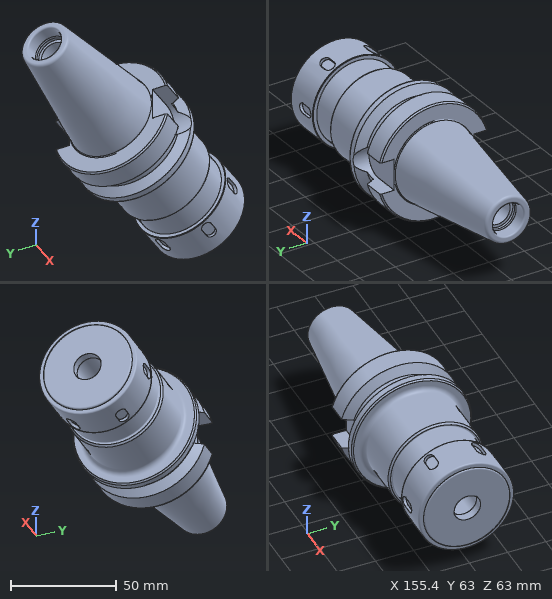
import cadquery as cq
import math

OVERALL_LENGTH = 155.4
BORE_DIAMETER = 13.8

TAPER_RATIO = 7 / 24
GAGE_DIAMETER = 44.5
GAGE_X = 65.1
SHANK_EDGE_RADIUS = 1.7

MOUTH_FILLET = 1.0
COUNTERBORE_DIAMETER = 17.5
COUNTERBORE_DEPTH = 7.3
STEP_DIAMETER = 17.0
STEP_CONE_LENGTH = 1.0
STEP_DEPTH = 9.8

FLANGE_DIAMETER = 63.0
FLANGE_FRONT_X = 66.2
FLANGE_BACK_X = 92.3
FLANGE_CHAMFER = 0.8
GROOVE_DIAMETER = 53.1
GROOVE_FLOOR_START_X = 80.7
GROOVE_FLOOR_WIDTH = 4.7
GROOVE_FLANK_ANGLE = 30

SLOT_WIDTH = 17.0
SLOT_END_X = 88.6
SLOT_FLOOR_Y = 22.5

BODY_DIAMETER = 49.7
BODY_END_X = 120.0
BODY_CHAMFER = 1.0
BODY_FILLET = 2.8
NECK_DIAMETER = 45.5

ROOT_FILLET = 0.5

NUT_DIAMETER = 50.0
NUT_START_X = 134.5
NUT_START_CHAMFER = 0.3
NUT_SHOULDER_X = 154.5
NUT_FILLET = 1.0
NOSE_DIAMETER = 45.0
NOSE_FILLET = 0.8
NUT_END_WALL = 4.7

RECESS_COUNT = 6
RECESS_LENGTH = 10.0
RECESS_WIDTH = 5.5
RECESS_CENTRE_X = 141.3
RECESS_DEPTH = 1.7

NECK_END_X = OVERALL_LENGTH - NUT_END_WALL


def revolve_about_x(profile):
    """Turn a closed profile, drawn with X along the axis and Y as radius."""
    return profile.close().revolve(360, (0, 0, 0), (1, 0, 0))


def make_shank():
    small_end_diameter = GAGE_DIAMETER - TAPER_RATIO * GAGE_X
    cone = revolve_about_x(
        cq.Workplane("XY")
        .lineTo(0, small_end_diameter / 2)
        .lineTo(GAGE_X, GAGE_DIAMETER / 2)
        .lineTo(FLANGE_FRONT_X - ROOT_FILLET, GAGE_DIAMETER / 2)
        .radiusArc((FLANGE_FRONT_X, GAGE_DIAMETER / 2 + ROOT_FILLET), -ROOT_FILLET)
        .lineTo(FLANGE_FRONT_X, 0)
    )
    return cone.faces("<X").edges().fillet(SHANK_EDGE_RADIUS)


def make_flange():
    rim = FLANGE_DIAMETER / 2
    floor = GROOVE_DIAMETER / 2
    flank_run = (rim - floor) * math.tan(math.radians(GROOVE_FLANK_ANGLE))
    groove_floor_end_x = GROOVE_FLOOR_START_X + GROOVE_FLOOR_WIDTH
    return revolve_about_x(
        cq.Workplane("XY")
        .moveTo(FLANGE_FRONT_X, 0)
        .lineTo(FLANGE_FRONT_X, rim - FLANGE_CHAMFER)
        .lineTo(FLANGE_FRONT_X + FLANGE_CHAMFER, rim)
        .lineTo(GROOVE_FLOOR_START_X - flank_run, rim)
        .lineTo(GROOVE_FLOOR_START_X, floor)
        .lineTo(groove_floor_end_x, floor)
        .lineTo(groove_floor_end_x + flank_run, rim)
        .lineTo(FLANGE_BACK_X - FLANGE_CHAMFER, rim)
        .lineTo(FLANGE_BACK_X, rim - FLANGE_CHAMFER)
        .lineTo(FLANGE_BACK_X, 0)
    )


def make_body_and_neck():
    """Body joined to the flange by a concave fillet, then the neck that carries the nut."""
    radius = BODY_DIAMETER / 2
    return revolve_about_x(
        cq.Workplane("XY")
        .moveTo(FLANGE_BACK_X, 0)
        .lineTo(FLANGE_BACK_X, radius + BODY_FILLET)
        .radiusArc((FLANGE_BACK_X + BODY_FILLET, radius), -BODY_FILLET)
        .lineTo(BODY_END_X - BODY_CHAMFER, radius)
        .lineTo(BODY_END_X, radius - BODY_CHAMFER)
        .lineTo(BODY_END_X, NECK_DIAMETER / 2 + ROOT_FILLET)
        .radiusArc((BODY_END_X + ROOT_FILLET, NECK_DIAMETER / 2), -ROOT_FILLET)
        .lineTo(NECK_END_X, NECK_DIAMETER / 2)
        .lineTo(NECK_END_X, 0)
    )


def make_bore():
    """Through bore with a stepped counterbore and a rounded mouth."""
    counterbore = COUNTERBORE_DIAMETER / 2
    step = STEP_DIAMETER / 2
    bore = BORE_DIAMETER / 2
    return revolve_about_x(
        cq.Workplane("XY")
        .lineTo(0, counterbore + MOUTH_FILLET)
        .radiusArc((MOUTH_FILLET, counterbore), -MOUTH_FILLET)
        .lineTo(COUNTERBORE_DEPTH, counterbore)
        .lineTo(COUNTERBORE_DEPTH + STEP_CONE_LENGTH, step)
        .lineTo(STEP_DEPTH, step)
        .lineTo(STEP_DEPTH, bore)
        .lineTo(OVERALL_LENGTH, bore)
        .lineTo(OVERALL_LENGTH, 0)
    )


def make_drive_slot(side):
    """Flat-bottomed slot, open toward the taper, with a round end; side is +1 or -1."""
    round_centre_x = SLOT_END_X - SLOT_WIDTH / 2
    depth = FLANGE_DIAMETER / 2 - SLOT_FLOOR_Y
    floor_plane = cq.Workplane("XZ", origin=(0, side * SLOT_FLOOR_Y, 0))
    return (
        floor_plane
        .moveTo(FLANGE_FRONT_X, -SLOT_WIDTH / 2)
        .lineTo(round_centre_x, -SLOT_WIDTH / 2)
        .threePointArc((SLOT_END_X, 0), (round_centre_x, SLOT_WIDTH / 2))
        .lineTo(FLANGE_FRONT_X, SLOT_WIDTH / 2)
        .close()
        .extrude(-side * depth)
    )


def make_holder():
    holder = make_shank().union(make_flange()).union(make_body_and_neck())
    for side in (1, -1):
        holder = holder.cut(make_drive_slot(side))
    return holder.cut(make_bore())


def make_recess(angle):
    """Rounded recess in the rim of the nut; angle is measured about X from the -Y side."""
    floor_radius = NUT_DIAMETER / 2 - RECESS_DEPTH
    return (
        cq.Workplane("XZ", origin=(RECESS_CENTRE_X, -floor_radius, 0))
        .slot2D(RECESS_LENGTH, RECESS_WIDTH)
        .extrude(2 * RECESS_DEPTH)
        .rotate((0, 0, 0), (1, 0, 0), angle)
    )


def make_nut():
    """Nut over the end of the neck, with a pocket for the neck and a low rounded nose."""
    radius = NUT_DIAMETER / 2
    nut = revolve_about_x(
        cq.Workplane("XY")
        .moveTo(NUT_START_X, NECK_DIAMETER / 2)
        .lineTo(NUT_START_X, radius - NUT_START_CHAMFER)
        .lineTo(NUT_START_X + NUT_START_CHAMFER, radius)
        .lineTo(NUT_SHOULDER_X - NUT_FILLET, radius)
        .radiusArc((NUT_SHOULDER_X, radius - NUT_FILLET), NUT_FILLET)
        .lineTo(NUT_SHOULDER_X, NOSE_DIAMETER / 2)
        .lineTo(OVERALL_LENGTH - NOSE_FILLET, NOSE_DIAMETER / 2)
        .radiusArc((OVERALL_LENGTH, NOSE_DIAMETER / 2 - NOSE_FILLET), NOSE_FILLET)
        .lineTo(OVERALL_LENGTH, BORE_DIAMETER / 2)
        .lineTo(NECK_END_X, BORE_DIAMETER / 2)
        .lineTo(NECK_END_X, NECK_DIAMETER / 2)
    )
    for i in range(RECESS_COUNT):
        nut = nut.cut(make_recess(i * 360 / RECESS_COUNT))
    return nut


holder = make_holder()
nut = make_nut()
result = cq.Compound.makeCompound([*holder.solids().vals(), *nut.solids().vals()])